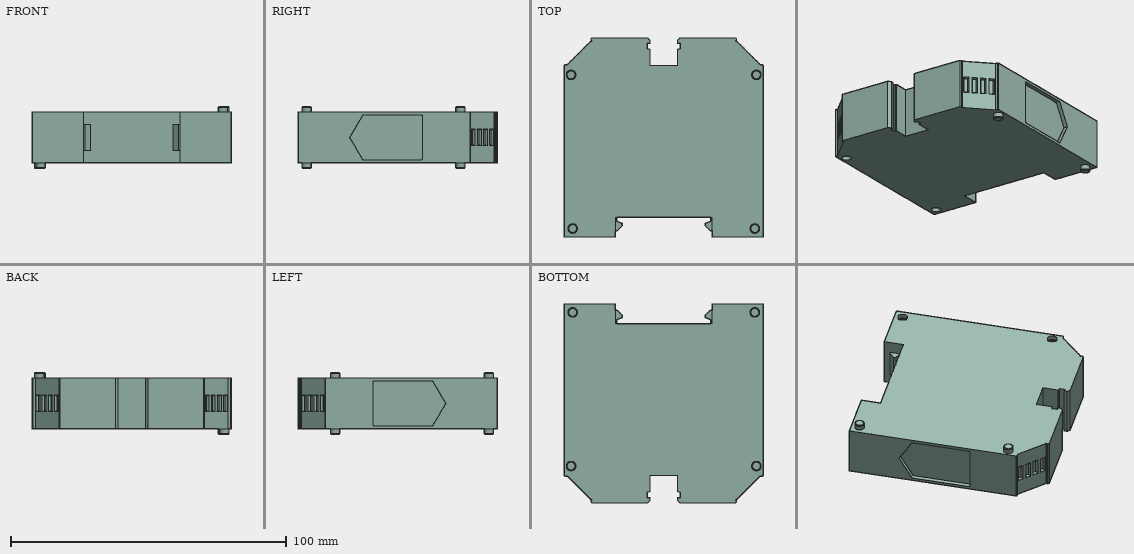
import cadquery as cq

width = 72.3
length = 72.35
thickness = 18.5
half_width = width / 2
half_length = length / 2

shoulder_size = 10.0
shoulder_lip = 0.3
slope_inset = 1.15
nib_bevel = 0.4

channel_half_width = 5.0
channel_depth = 10.0
channel_mouth_chamfer = 0.95
latch_groove_top = 2.0
latch_groove_bottom = 4.0
latch_groove_depth = 0.95
latch_groove_ramp = 0.3

recess_half_width = 17.6
recess_depth = 7.15
clip_thickness = 9.5
clip_neck = 0.6
clip_heel = 0.65
clip_reach = 2.5
clip_ramp_start = 1.4
clip_tip_start = 2.2
clip_tip_end = 3.05
clip_bottom = 4.9

pin_diameter = 3.5
pin_height = 1.95
pin_chamfer = 0.3
upper_pin_x = 33.65
upper_pin_y = 22.7
lower_pin_x = 33.1
lower_pin_y = -33.1

slot_count = 4
slot_pitch = 3.1
slot_width = 1.95
slot_height = 6.0
slot_draft_angle = 15
slot_depth = 1.0

pocket_top = 9.0
pocket_shoulder = -12.65
pocket_tip = -17.45
pocket_half_height = 8.2
pocket_corner_radius = 0.5
pocket_depth = 1.5


def both_sides(solid):
    """Return the solid together with its mirror image across the YZ plane."""
    return solid.union(solid.mirror("YZ"))


def extrude_centred(points, height):
    """Extrude a closed XY outline evenly about Z = 0."""
    return cq.Workplane("XY").polyline(points).close().extrude(height / 2, both=True)


def make_body():
    """Housing plate with its shoulders, wire channel and rail recess."""
    shoulder_x = -half_width + shoulder_size
    shoulder_y = half_length - shoulder_size
    slope_top_y = half_length - slope_inset
    groove_half_width = channel_half_width + latch_groove_depth
    groove_bottom_y = half_length - latch_groove_bottom
    recess_floor_y = -half_length + recess_depth

    left_side = [
        (0, recess_floor_y),
        (-recess_half_width, recess_floor_y),
        (-recess_half_width, -half_length),
        (-half_width, -half_length),
        (-half_width, shoulder_y),
        (-half_width + shoulder_lip, shoulder_y + shoulder_lip),
        (-half_width + slope_inset, shoulder_y + shoulder_lip),
        (shoulder_x - shoulder_lip, slope_top_y),
        (shoulder_x, slope_top_y),
        (shoulder_x - shoulder_lip, slope_top_y + shoulder_lip),
        (shoulder_x - shoulder_lip, half_length - nib_bevel),
        (shoulder_x - shoulder_lip + nib_bevel, half_length),
        (-channel_half_width - channel_mouth_chamfer, half_length),
        (-channel_half_width, half_length - channel_mouth_chamfer),
        (-channel_half_width, half_length - latch_groove_top),
        (-groove_half_width, half_length - latch_groove_top),
        (-groove_half_width, groove_bottom_y),
        (-channel_half_width - latch_groove_ramp, groove_bottom_y),
        (-channel_half_width, groove_bottom_y - latch_groove_ramp),
        (-channel_half_width, half_length - channel_depth),
        (0, half_length - channel_depth),
    ]
    return both_sides(extrude_centred(left_side, thickness))


def make_clips():
    """Hooked rail clips on the two side walls of the recess."""
    wall_x = -recess_half_width
    floor_y = -half_length + recess_depth
    profile = [
        (wall_x, floor_y),
        (wall_x + clip_neck, floor_y),
        (wall_x + clip_neck, floor_y - clip_ramp_start),
        (wall_x + clip_reach, floor_y - clip_tip_start),
        (wall_x + clip_reach, floor_y - clip_tip_end),
        (wall_x + clip_heel, floor_y - clip_bottom),
        (wall_x, floor_y - clip_bottom),
    ]
    return both_sides(extrude_centred(profile, clip_thickness))


def make_pins(side, base_z, end_face):
    """Two pins spanning pin_height up from base_z, chamfered on end_face; side is +1 or -1 along X."""
    centres = [(side * upper_pin_x, upper_pin_y), (side * lower_pin_x, lower_pin_y)]
    pins = cq.Workplane("XY", origin=(0, 0, base_z)).pushPoints(centres)
    pins = pins.circle(pin_diameter / 2).extrude(pin_height)
    return pins.faces(end_face).edges().chamfer(pin_chamfer)


def make_slots():
    """Tapered vent slots spread evenly about the middle of each slope."""
    slope_middle_offset = (slope_inset + shoulder_size - shoulder_lip) / 2
    slope_middle = (-half_width + slope_middle_offset, half_length - slope_middle_offset, 0)
    slope_plane = cq.Plane(origin=slope_middle, xDir=(1, 1, 0), normal=(1, -1, 0))
    slots = (
        cq.Workplane(slope_plane)
        .rarray(slot_pitch, 0.7, slot_count, 1)
        .rect(slot_width, slot_height)
        .extrude(slot_depth, taper=slot_draft_angle)
    )
    return both_sides(slots)


def make_label_pockets():
    """Arrow-shaped pockets pointing to -Y, with rounded corners except at the tip."""
    outline = [
        (pocket_top, -pocket_half_height),
        (pocket_top, pocket_half_height),
        (pocket_shoulder, pocket_half_height),
        (pocket_tip, 0),
        (pocket_shoulder, -pocket_half_height),
    ]
    side_face = cq.Workplane("YZ", origin=(-half_width, 0, 0))
    pocket = side_face.polyline(outline).close().extrude(pocket_depth)
    corners = pocket.edges("|X").edges("not <Y")
    return both_sides(corners.fillet(pocket_corner_radius))


top_z = thickness / 2
top_pins = make_pins(1, top_z, ">Z")
bottom_pins = make_pins(-1, -top_z - pin_height, "<Z")
top_sockets = make_pins(-1, top_z - pin_height, "<Z")
bottom_sockets = make_pins(1, -top_z, ">Z")

result = make_body().union(make_clips()).union(top_pins).union(bottom_pins)
result = result.cut(top_sockets).cut(bottom_sockets)
result = result.cut(make_slots()).cut(make_label_pockets())